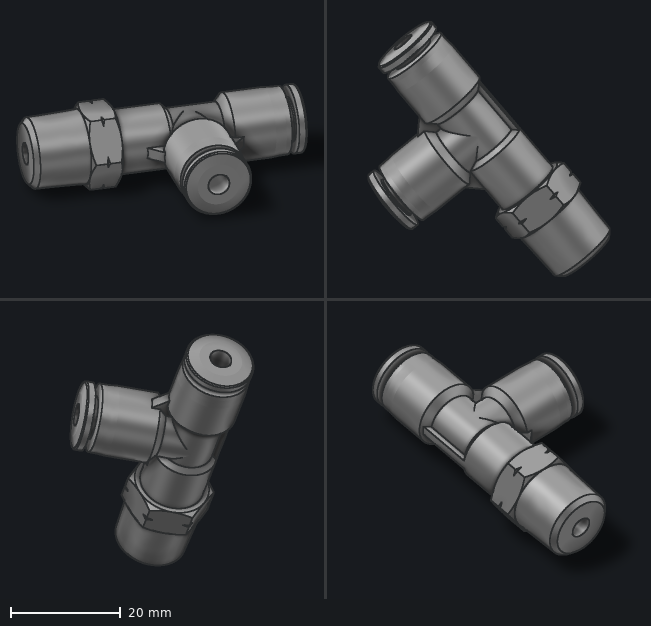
import cadquery as cq
import math


TOTAL_LENGTH = 52.0
PORT_REACH = 21.55
THREAD_TIP = PORT_REACH - TOTAL_LENGTH

TUBE_RADIUS = 5.0
PORT_RADIUS = 6.5
CAP_RADIUS = 6.35
NECK_RADIUS = 4.0
SHOULDER_START = 6.0
SHOULDER_END = SHOULDER_START + PORT_RADIUS - TUBE_RADIUS
TAPER_START = 15.2
TAPER_END = 17.2
CAP_EDGE = 18.25
CAP_END = 18.5
CAP_CROWN_RADIUS = 5.0
COLLAR_BACK = 19.6
COLLAR_FLARE_LENGTH = 0.3
COLLAR_FLARE_RADIUS = 4.15
COLLAR_EDGE_BEVEL = 0.25
COLLAR_CROWN_HEIGHT = 0.4

THREAD_TIP_RADIUS = 5.6
THREAD_CHAMFER = 1.0
THREAD_START_RADIUS = THREAD_TIP_RADIUS + THREAD_CHAMFER
THREAD_END_RADIUS = 6.9
THREAD_LENGTH = 10.5

HEX_FLATS = 14.0
HEX_LENGTH = 6.05
HEX_CORNER_RADIUS = HEX_FLATS / math.sqrt(3)
HEX_CHAMFER_ANGLE = math.radians(30)
NOTCH_DEPTH = 0.5
NOTCH_HALF_WIDTH = 0.25

STEM_DIAMETER = 12.0
STEM_RADIUS = STEM_DIAMETER / 2
STEM_CHAMFER = STEM_RADIUS - TUBE_RADIUS
STEM_END = -3.5

WEB_THICKNESS = 2.1
UPPER_GUSSET_LEG = 15.5
LOWER_GUSSET_LEG = 15.0

BORE_DIAMETER = 4.0
BORE_RADIUS = BORE_DIAMETER / 2

HEX_START = THREAD_TIP + THREAD_LENGTH
HEX_END = HEX_START + HEX_LENGTH


def revolve_about_y(points):
    """Solid of revolution from (radius, y) points."""
    return cq.Workplane("XY").polyline(points).close().revolve(360, (0, 0, 0), (0, 1, 0))


def port():
    """Push-in port along +Y, starting at the axis crossing."""
    crown_base = PORT_REACH - COLLAR_CROWN_HEIGHT
    body = revolve_about_y([
        (0, 0),
        (TUBE_RADIUS, 0),
        (TUBE_RADIUS, SHOULDER_START),
        (PORT_RADIUS, SHOULDER_END),
        (PORT_RADIUS, TAPER_START),
        (CAP_RADIUS, TAPER_END),
        (CAP_RADIUS, CAP_EDGE),
        (CAP_CROWN_RADIUS, CAP_END),
        (0, CAP_END),
    ])
    neck = revolve_about_y([
        (0, CAP_EDGE),
        (NECK_RADIUS, CAP_EDGE),
        (NECK_RADIUS, COLLAR_BACK - COLLAR_FLARE_LENGTH),
        (COLLAR_FLARE_RADIUS, COLLAR_BACK),
        (0, COLLAR_BACK),
    ])
    collar = revolve_about_y([
        (0, COLLAR_BACK),
        (CAP_RADIUS, COLLAR_BACK),
        (CAP_RADIUS, crown_base - COLLAR_EDGE_BEVEL),
        (CAP_RADIUS - COLLAR_EDGE_BEVEL, crown_base),
        (NECK_RADIUS, PORT_REACH),
        (0, PORT_REACH),
    ])
    return body.union(neck).union(collar)


def threaded_end():
    """Slightly tapered plug with a chamfered tip."""
    return revolve_about_y([
        (0, THREAD_TIP),
        (THREAD_TIP_RADIUS, THREAD_TIP),
        (THREAD_START_RADIUS, THREAD_TIP + THREAD_CHAMFER),
        (THREAD_END_RADIUS, HEX_START),
        (0, HEX_START),
    ])


def hex_nut():
    """Hexagon with corners on X, chamfered at both ends and notched around its corners."""
    prism = (
        cq.Workplane("XZ", origin=(0, HEX_START, 0))
        .polygon(6, 2 * HEX_CORNER_RADIUS)
        .extrude(-HEX_LENGTH)
    )
    flat_radius = HEX_FLATS / 2
    chamfer_length = (HEX_CORNER_RADIUS - flat_radius) * math.tan(HEX_CHAMFER_ANGLE)
    middle = (HEX_START + HEX_END) / 2
    envelope = revolve_about_y([
        (0, HEX_START),
        (flat_radius, HEX_START),
        (HEX_CORNER_RADIUS, HEX_START + chamfer_length),
        (HEX_CORNER_RADIUS, middle - NOTCH_HALF_WIDTH),
        (HEX_CORNER_RADIUS - NOTCH_DEPTH, middle),
        (HEX_CORNER_RADIUS, middle + NOTCH_HALF_WIDTH),
        (HEX_CORNER_RADIUS, HEX_END - chamfer_length),
        (flat_radius, HEX_END),
        (0, HEX_END),
    ])
    return prism.intersect(envelope)


def stem():
    """Cylinder from the nut, narrowing to the tube that reaches the crossing."""
    return revolve_about_y([
        (0, HEX_END),
        (STEM_RADIUS, HEX_END),
        (STEM_RADIUS, STEM_END - STEM_CHAMFER),
        (TUBE_RADIUS, STEM_END),
        (TUBE_RADIUS, 0),
        (0, 0),
    ])


def back_web():
    """Web on the -X side, flush with the stem surface and ending in the port shoulder."""
    web_start = STEM_END - STEM_CHAMFER
    web_end = SHOULDER_START + STEM_RADIUS - TUBE_RADIUS
    web_length = web_end - web_start
    cylinder = cq.Workplane("XZ", origin=(0, web_start, 0)).circle(STEM_RADIUS).extrude(-web_length)
    slab = (
        cq.Workplane("XY")
        .box(STEM_RADIUS, web_length, WEB_THICKNESS, centered=(False, False, True))
        .translate((-STEM_RADIUS, web_start, 0))
    )
    return cylinder.intersect(slab)


def gussets():
    """Triangular webs in the two corners between the run and the branch."""
    return (
        cq.Workplane("XY", origin=(0, 0, -WEB_THICKNESS / 2))
        .polyline([
            (0, -LOWER_GUSSET_LEG),
            (LOWER_GUSSET_LEG, 0),
            (UPPER_GUSSET_LEG, 0),
            (0, UPPER_GUSSET_LEG),
        ])
        .close()
        .extrude(WEB_THICKNESS)
    )


def bores():
    """Straight passage through the run, joined by one along the branch."""
    run = cq.Workplane("XZ", origin=(0, THREAD_TIP, 0)).circle(BORE_RADIUS).extrude(-TOTAL_LENGTH)
    branch = cq.Workplane("YZ").circle(BORE_RADIUS).extrude(PORT_REACH)
    return run.union(branch)


run_port = port()
branch_port = port().rotate((0, 0, 0), (0, 0, 1), -90)

result = threaded_end()
for piece in (hex_nut(), stem(), run_port, branch_port, back_web(), gussets()):
    result = result.union(piece)
result = result.cut(bores())